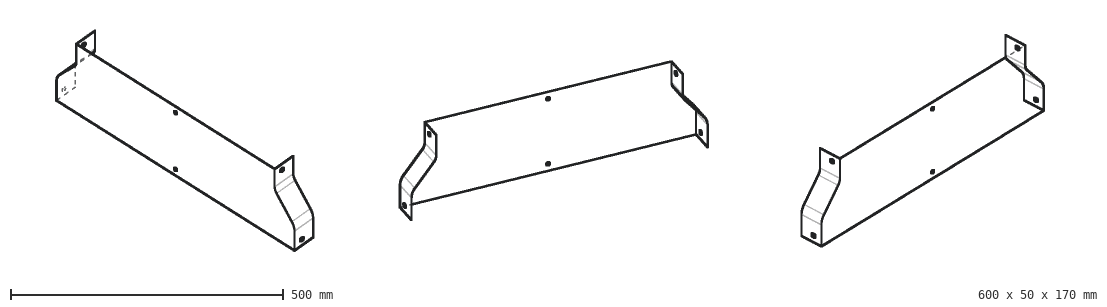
import cadquery as cq

length = 600.0
depth = 50.0
height = 170.0
sheet = 0.8

top_length = 500.0
slope_bottom = 58.7
slope_top = 118.7
lower_bend_radius = 30.0
upper_bend_radius = 20.0

hole_edge_distance = 15.0
flange_slot_length = 10.0
flange_slot_width = 8.0
flange_slot_setback = 20.0
panel_hole_diameter = 7.0

half_length = length / 2
half_top = top_length / 2
hole_heights = (hole_edge_distance, height - hole_edge_distance)


def make_body():
    """Solid block with the outer outline of the part and rounded bends."""
    outline = [
        (-half_length, 0),
        (half_length, 0),
        (half_length, slope_bottom),
        (half_top, slope_top),
        (half_top, height),
        (-half_top, height),
        (-half_top, slope_top),
        (-half_length, slope_bottom),
    ]
    body = cq.Workplane("XZ").polyline(outline).close().extrude(-depth)
    for bend_height, radius in ((slope_bottom, lower_bend_radius), (slope_top, upper_bend_radius)):
        bend_slice = cq.selectors.BoxSelector(
            (-length, -depth, bend_height - sheet),
            (length, 2 * depth, bend_height + sheet),
        )
        body = body.edges("|Y").edges(bend_slice).fillet(radius)
    return body


def hollow_out(body):
    """Leave one sheet thickness on the front panel and the two sides."""
    return body.faces(">Y or >Z or <Z").shell(-sheet)


def cut_panel_holes(body):
    """Two holes through the front panel on its centre line."""
    drills = (
        cq.Workplane("XZ")
        .pushPoints([(0, z) for z in hole_heights])
        .circle(panel_hole_diameter / 2)
        .extrude(-depth)
    )
    return body.cut(drills)


def cut_flange_slots(body):
    """Two slots through each side flange, long along Y and cut straight along X."""
    cutters = (
        cq.Workplane("YZ")
        .pushPoints([(flange_slot_setback, z) for z in hole_heights])
        .slot2D(flange_slot_length, flange_slot_width)
        .extrude(half_length, both=True)
    )
    return body.cut(cutters)


result = cut_flange_slots(cut_panel_holes(hollow_out(make_body())))